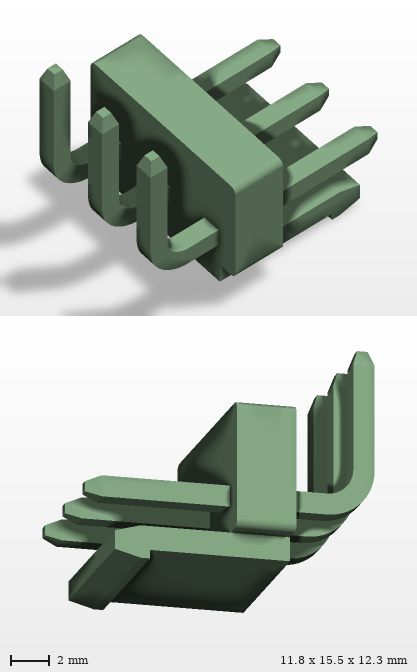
import cadquery as cq


housing_width = 11.82
housing_depth = 3.2
housing_height = 6.8
corner_radius = 0.4

tongue_width = 9.28
tongue_length = 9.4
tongue_thickness = 1.3
hook_drop = 0.46
hook_length = 1.87
ramp_length = 1.38
ramp_rise = 0.37

pin_count = 3
pin_pitch = 3.96
pin_size = 1.15
pin_axis_height = 2.01
pin_front_end = 10.9
pin_total_length = 15.47
pin_top = 10.55
bend_inner_radius = 1.41
tip_length = 0.82
tip_size = 0.55

bend_outer_radius = bend_inner_radius + pin_size
bend_axis_radius = bend_inner_radius + pin_size / 2
upright_axis_y = pin_front_end - pin_total_length + pin_size / 2
bend_start_y = upright_axis_y + bend_axis_radius
bend_center_z = pin_axis_height + bend_axis_radius


def pin_x(index):
    """X position of a pin in the centred row."""
    return (index - (pin_count - 1) / 2) * pin_pitch


def make_tongue():
    """Tongue profile in the YZ plane, extruded evenly about X = 0."""
    hook_bottom = -tongue_thickness - hook_drop
    ramp_start = tongue_length - ramp_length
    profile = [
        (0, 0),
        (ramp_start, 0),
        (tongue_length, -ramp_rise),
        (tongue_length, hook_bottom + ramp_rise),
        (ramp_start, hook_bottom),
        (tongue_length - hook_length, hook_bottom),
        (tongue_length - hook_length, -tongue_thickness),
        (0, -tongue_thickness),
    ]
    return cq.Workplane("YZ").polyline(profile).close().extrude(tongue_width / 2, both=True)


def make_housing():
    """Rounded block and tongue in one piece, with a square hole for each pin."""
    block = (
        cq.Workplane("XY")
        .box(housing_width, housing_depth, housing_height, centered=(True, False, False))
        .edges("|Y")
        .fillet(corner_radius)
    )
    housing = block.union(make_tongue())
    for index in range(pin_count):
        hole = (
            cq.Workplane("XY")
            .box(pin_size, housing_depth, pin_size, centered=(True, False, True))
            .translate((pin_x(index), 0, pin_axis_height))
        )
        housing = housing.cut(hole)
    return housing


def make_tip(base_plane):
    """Truncated pyramid that tapers along the normal of its base plane."""
    return (
        cq.Workplane(base_plane)
        .rect(pin_size, pin_size)
        .workplane(offset=tip_length)
        .rect(tip_size, tip_size)
        .loft(ruled=True)
    )


def make_pin(x):
    """Square pin bent upward by 90 degrees, tapered at both ends."""
    half = pin_size / 2
    front_shoulder = pin_front_end - tip_length
    top_shoulder = pin_top - tip_length
    shank = (
        cq.Workplane("YZ")
        .moveTo(front_shoulder, pin_axis_height - half)
        .lineTo(bend_start_y, pin_axis_height - half)
        .radiusArc((upright_axis_y - half, bend_center_z), bend_outer_radius)
        .lineTo(upright_axis_y - half, top_shoulder)
        .lineTo(upright_axis_y + half, top_shoulder)
        .lineTo(upright_axis_y + half, bend_center_z)
        .radiusArc((bend_start_y, pin_axis_height + half), -bend_inner_radius)
        .lineTo(front_shoulder, pin_axis_height + half)
        .close()
        .extrude(half, both=True)
    )
    front_plane = cq.Plane(origin=(0, front_shoulder, pin_axis_height), xDir=(1, 0, 0), normal=(0, 1, 0))
    top_plane = cq.Plane(origin=(0, upright_axis_y, top_shoulder), xDir=(1, 0, 0), normal=(0, 0, 1))
    pin = shank.union(make_tip(front_plane)).union(make_tip(top_plane))
    return pin.translate((x, 0, 0))


housing = make_housing()
pins = [make_pin(pin_x(index)) for index in range(pin_count)]

result = cq.Compound.makeCompound([housing.val(), *[pin.val() for pin in pins]])